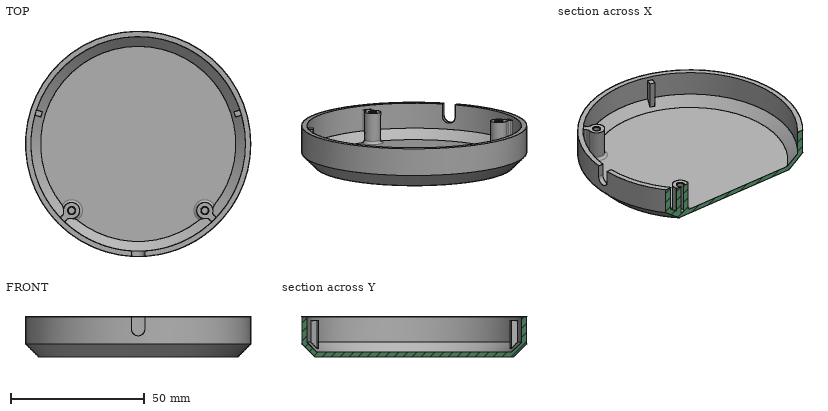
import cadquery as cq
import math

outer_radius = 42.2
height = 15.2
base_chamfer_width = 5.0
base_chamfer_height = 5.0
wall = 2.0
floor_thickness = 2.0
inner_radius = outer_radius - wall
floor_radius = 36.55
inner_cone_height = inner_radius - floor_radius

support_drop = 1.5
support_top = height - support_drop
wall_overlap = 0.85

boss_angles = (-45, -135)
boss_distance = 35.3
boss_radius = 3.0
boss_foot_fillet = 1.0
web_width = 2.4
web_post_fillet = 1.0
web_wall_fillet = 0.5
hole_radius = 1.3
hole_chamfer = 0.25

rib_angles = (17, 163)
rib_width = 2.0
rib_inner_distance = 37.8

notch_width = 5.0
notch_bottom = 8.0


def make_outer_body():
    profile = [
        (0, 0),
        (outer_radius - base_chamfer_width, 0),
        (outer_radius, base_chamfer_height),
        (outer_radius, height),
        (0, height),
    ]
    return cq.Workplane("XZ").polyline(profile).close().revolve(360, (0, 0), (0, 1))


def make_cavity():
    profile = [
        (0, floor_thickness),
        (floor_radius, floor_thickness),
        (inner_radius, floor_thickness + inner_cone_height),
        (inner_radius, height),
        (0, height),
    ]
    return cq.Workplane("XZ").polyline(profile).close().revolve(360, (0, 0), (0, 1))


def radial_bar(start, width):
    """Bar along +X from the given distance into the wall, up to the support level."""
    length = inner_radius + wall_overlap - start
    bar = cq.Workplane("XY").box(length, width, support_top, centered=(False, True, False))
    return bar.translate((start, 0, 0))


def make_boss():
    """Boss on the +X axis with its web and a flared foot."""
    post = cq.Workplane("XY").center(boss_distance, 0).circle(boss_radius).extrude(support_top)
    post = post.union(radial_bar(boss_distance, web_width))
    ring = cq.Workplane("XY").circle(inner_radius + wall_overlap).circle(inner_radius).extrude(support_top)
    post = post.union(ring)
    half_web = web_width / 2
    post_corner = boss_distance + math.sqrt(boss_radius**2 - half_web**2)
    wall_corner = math.sqrt(inner_radius**2 - half_web**2)
    for side in (-1, 1):
        for corner, radius in ((post_corner, web_post_fillet), (wall_corner, web_wall_fillet)):
            nearest = cq.selectors.NearestToPointSelector((corner, side * half_web, support_top / 2))
            post = post.edges("|Z").edges(nearest).fillet(radius)
    foot_radius = boss_radius + boss_foot_fillet
    foot_top = floor_thickness + boss_foot_fillet
    arc_offset = boss_foot_fillet * (1 - math.sqrt(0.5))
    foot = (
        cq.Workplane("XZ", origin=(boss_distance, 0, 0))
        .moveTo(0, floor_thickness)
        .lineTo(foot_radius, floor_thickness)
        .threePointArc(
            (boss_radius + arc_offset, floor_thickness + arc_offset),
            (boss_radius, foot_top),
        )
        .lineTo(0, foot_top)
        .close()
        .revolve(360, (0, 0), (0, 1))
    )
    return post.union(foot)


def make_boss_hole():
    """Blind screw hole down to the floor, with a chamfered mouth."""
    mouth_radius = hole_radius + hole_chamfer
    profile = [
        (0, floor_thickness),
        (hole_radius, floor_thickness),
        (hole_radius, support_top - hole_chamfer),
        (mouth_radius, support_top),
        (0, support_top),
    ]
    hole = cq.Workplane("XZ").polyline(profile).close().revolve(360, (0, 0), (0, 1))
    return hole.translate((boss_distance, 0, 0))


def make_notch():
    radius = notch_width / 2
    arc_center = notch_bottom + radius
    return (
        cq.Workplane("XZ", origin=(0, -inner_radius + wall_overlap, 0))
        .moveTo(-radius, height)
        .lineTo(-radius, arc_center)
        .threePointArc((0, notch_bottom), (radius, arc_center))
        .lineTo(radius, height)
        .close()
        .extrude(wall + 2 * wall_overlap)
    )


def turn(shape, angle):
    return shape.rotate((0, 0, 0), (0, 0, 1), angle)


outer_body = make_outer_body()
supports = cq.Workplane("XY")
for angle in boss_angles:
    supports = supports.add(turn(make_boss(), angle))
for angle in rib_angles:
    supports = supports.add(turn(radial_bar(rib_inner_distance, rib_width), angle))

result = outer_body.cut(make_cavity())
for support in supports.vals():
    result = result.union(outer_body.intersect(cq.Workplane(support)))
for angle in boss_angles:
    result = result.cut(turn(make_boss_hole(), angle))
result = result.cut(make_notch())